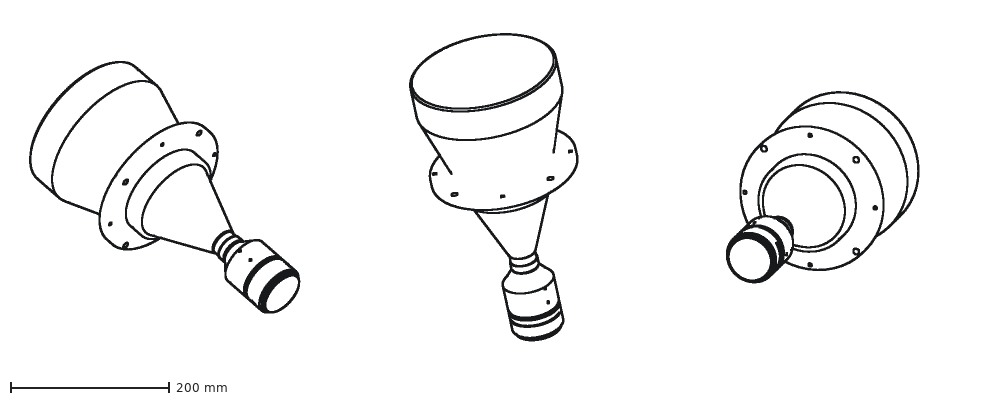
import cadquery as cq

LENGTH = 379.0
FRONT_RADIUS = 94.0

BARREL_CHAMFER = 2.5
BARREL_END = 44.7
CONE_END = 129.5
CONE_END_RADIUS = 66.7
COLLAR_LENGTH = 1.0
COLLAR_FILLET = 3.5

FLANGE_START = 134.0
FLANGE_END = 149.0
FLANGE_FILLET = 2.3
BOLT_CIRCLE_RADIUS = 87.0
BOLT_HOLE_DIAMETER = 7.5
PIN_HOLE_DIAMETER = 4.0
HOLES_PER_RING = 4
BOLT_HOLE_ANGLE = 45.0
PIN_HOLE_ANGLE = 0.0

SPIGOT_END = 172.5
SPIGOT_RADIUS = 61.5
SPIGOT_FILLET = 2.0
REAR_CONE_START_RADIUS = 55.0
REAR_CONE_END = 265.5
REAR_CONE_END_RADIUS = 18.0

NECK_RADIUS = 16.5
NECK_START = 266.5
NECK_RING_START = 276.7
NECK_RING_END = 286.0
NECK_RING_RADIUS = 18.0
FLARE_START = 288.0

HOUSING_RADIUS = 33.0
HOUSING_START = 307.5
HOUSING_CHAMFER = 1.0
GROOVE_START = 344.0
GROOVE_END = 347.2
GROOVE_DEPTH = 1.0
HOUSING_END = 374.5
HOUSING_END_CHAMFER = 2.0
MOUNT_RADIUS = 29.5
MOUNT_CHAMFER = 1.0

SCREW_POSITIONS = (309.5, 330.0)
SCREW_HOLE_DIAMETER = 2.5
SCREW_HOLE_DEPTH = 3.0
SCREW_COUNT = 3
SCREW_ANGLE = 19.0

SLOT_CENTRE = 356.0
SLOT_WIDTH = 1.0
SLOT_DEPTH = 0.8
SLOT_START_ANGLE = 58.0
SLOT_SWEEP = 194.0


def turned_body():
    """Solid of revolution about X, from the front face to the rear mount."""
    ring_height = NECK_RING_RADIUS - NECK_RADIUS
    groove_radius = HOUSING_RADIUS - GROOVE_DEPTH
    return (
        cq.Workplane("XY")
        .moveTo(0, 0)
        .lineTo(0, FRONT_RADIUS - BARREL_CHAMFER)
        .lineTo(BARREL_CHAMFER, FRONT_RADIUS)
        .lineTo(BARREL_END, FRONT_RADIUS)
        .lineTo(CONE_END, CONE_END_RADIUS)
        .lineTo(CONE_END + COLLAR_LENGTH, CONE_END_RADIUS)
        .radiusArc((FLANGE_START, CONE_END_RADIUS + COLLAR_FILLET), -COLLAR_FILLET)
        .lineTo(FLANGE_START, FRONT_RADIUS - FLANGE_FILLET)
        .radiusArc((FLANGE_START + FLANGE_FILLET, FRONT_RADIUS), FLANGE_FILLET)
        .lineTo(FLANGE_END - FLANGE_FILLET, FRONT_RADIUS)
        .radiusArc((FLANGE_END, FRONT_RADIUS - FLANGE_FILLET), FLANGE_FILLET)
        .lineTo(FLANGE_END, SPIGOT_RADIUS)
        .lineTo(SPIGOT_END - SPIGOT_FILLET, SPIGOT_RADIUS)
        .radiusArc((SPIGOT_END, SPIGOT_RADIUS - SPIGOT_FILLET), SPIGOT_FILLET)
        .lineTo(SPIGOT_END, REAR_CONE_START_RADIUS)
        .lineTo(REAR_CONE_END, REAR_CONE_END_RADIUS)
        .lineTo(NECK_START, NECK_RADIUS)
        .lineTo(NECK_RING_START, NECK_RADIUS)
        .lineTo(NECK_RING_START, NECK_RING_RADIUS)
        .lineTo(NECK_RING_END, NECK_RING_RADIUS)
        .lineTo(NECK_RING_END + ring_height, NECK_RADIUS)
        .lineTo(FLARE_START, NECK_RADIUS)
        .lineTo(HOUSING_START - HOUSING_CHAMFER, HOUSING_RADIUS - HOUSING_CHAMFER)
        .lineTo(HOUSING_START, HOUSING_RADIUS)
        .lineTo(GROOVE_START - HOUSING_CHAMFER, HOUSING_RADIUS)
        .lineTo(GROOVE_START, groove_radius)
        .lineTo(GROOVE_END, groove_radius)
        .lineTo(GROOVE_END, HOUSING_RADIUS)
        .lineTo(HOUSING_END - HOUSING_END_CHAMFER, HOUSING_RADIUS)
        .lineTo(HOUSING_END, HOUSING_RADIUS - HOUSING_END_CHAMFER)
        .lineTo(HOUSING_END, MOUNT_RADIUS)
        .lineTo(LENGTH - MOUNT_CHAMFER, MOUNT_RADIUS)
        .lineTo(LENGTH, MOUNT_RADIUS - MOUNT_CHAMFER)
        .lineTo(LENGTH, 0)
        .close()
        .revolve(360, (0, 0, 0), (1, 0, 0))
    )


def flange_holes(diameter, start_angle):
    """Ring of evenly spaced holes through the flange."""
    return (
        cq.Workplane("YZ", origin=(FLANGE_START, 0, 0))
        .polarArray(BOLT_CIRCLE_RADIUS, start_angle, 360, HOLES_PER_RING)
        .circle(diameter / 2)
        .extrude(FLANGE_END - FLANGE_START)
    )


def screw_hole(x, angle):
    """Radial blind hole in the housing, turned from +Z toward -Y."""
    return (
        cq.Workplane("XY", origin=(x, 0, HOUSING_RADIUS - SCREW_HOLE_DEPTH))
        .circle(SCREW_HOLE_DIAMETER / 2)
        .extrude(2 * SCREW_HOLE_DEPTH)
        .rotate((0, 0, 0), (1, 0, 0), angle)
    )


def housing_slot():
    """Partial ring cut, swept from the +Y side under the housing to the -Y side."""
    return (
        cq.Workplane("XZ")
        .center(SLOT_CENTRE, HOUSING_RADIUS)
        .rect(SLOT_WIDTH, 2 * SLOT_DEPTH)
        .revolve(SLOT_SWEEP, (0, -HOUSING_RADIUS, 0), (-1, -HOUSING_RADIUS, 0))
        .rotate((0, 0, 0), (1, 0, 0), -SLOT_START_ANGLE)
    )


result = turned_body()
result = result.cut(flange_holes(BOLT_HOLE_DIAMETER, BOLT_HOLE_ANGLE))
result = result.cut(flange_holes(PIN_HOLE_DIAMETER, PIN_HOLE_ANGLE))
for screw_x in SCREW_POSITIONS:
    for index in range(SCREW_COUNT):
        result = result.cut(screw_hole(screw_x, SCREW_ANGLE + index * 360 / SCREW_COUNT))
result = result.cut(housing_slot())